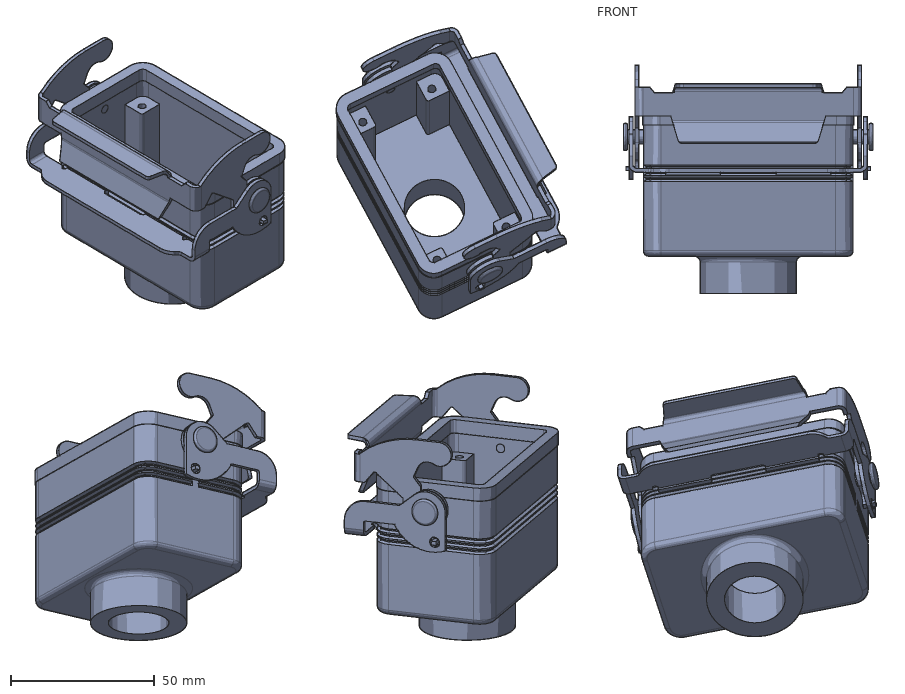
import cadquery as cq
import math


BODY_X = 73.1
BODY_Y = 43.7
RIM_X = 73.6
RIM_Y = 44.0
CORNER_R = 6.1
BASE_Z = 13.0
RIM_Z = 58.6
TOP_Z = 63.4
BASE_FILLET = 2.0

ENTRY_R = 16.8
ENTRY_BORE_R = 10.5

MOUTH_X = 65.4
MOUTH_Y = 35.85
MOUTH_CORNER_R = 1.7
MOUTH_DEPTH = 5.0
CAVITY_STEP = 0.7
CAVITY_X = MOUTH_X + 2 * CAVITY_STEP
CAVITY_Y = MOUTH_Y + 2 * CAVITY_STEP
CAVITY_CORNER_R = 3.0
FLOOR_Z = BASE_Z + (BODY_X - CAVITY_X) / 2

GROOVE_COUNT = 3
GROOVE_TOP_Z = 44.8
GROOVE_WIDTH = 1.6
GROOVE_PITCH = 2.1
GROOVE_DEPTH = 1.1
GROOVE_FLAT = 0.4
GROOVE_RIB_WIDTH = 2.6

POST_X = 25.05
POST_Y = 9.9
POST_TOP_Z = 51.4
POST_CORNER_R = 0.9
POST_HOLE_X = 28.5
POST_HOLE_Y = 13.5
POST_HOLE_R = 1.4
POST_HOLE_DEPTH = 10.4
DRILL_POINT_ANGLE = 118.0

PIVOT_Z = 54.55
PIN_R = 2.5
PIN_TIP_R = 1.6
PIN_HEAD_R = 4.8
PIN_HEAD_T = 1.5
PIN_HEAD_FILLET = 0.7
PIN_END_X = 43.5

SHEET = 1.4
BEND_R = 2 * SHEET

LOCK_X = 39.5
LOCK_BACK_Y = -28.1
LOCK_BOTTOM_Z = 61.8
LOCK_CORNER_Z = 71.9
LOCK_NOTCH_Z = 69.95
LOCK_NOTCH_TOP_X = 34.3
LOCK_NOTCH_BASE_X = 32.6
HOOK_TOP_Z = 79.5
HOOK_R = 4.35
HOOK_TIP_Y = 4.2
HOOK_CURVE_R = 33.2
HOOK_CURVE_Y = -4.5
HOOK_CURVE_END_Y = -22.0
HOOK_SHOULDER_Y = -25.7
THROAT_ANGLE = 24.0
THROAT_LIP = (-5.5, 65.9)
NECK_FRONT_Y = -9.4
NECK_FRONT_Z = 57.7
NECK_REAR_Y = -2.9
NECK_REAR_Z = 62.6
SIDE_NOTCH_TIP = (-19.9, 66.3)
SIDE_NOTCH_END_Y = -23.6
SIDE_NOTCH_R = 0.7
LOCK_BOSS_R = 7.0
LOCK_ARC_R = 6.1
LOCK_ARC_Z = 52.6
TONGUE_FILLET = 2.1
TONGUE_Y = 2.3
TONGUE_WIDTH = 1.7
TONGUE_BOTTOM_Z = 42.8
TONGUE_END_X = 42.6

GRIP_TOP_Z = 73.1
GRIP_END_Y = -35.9
GRIP_ROOT_X = 26.4
GRIP_BEND_X = 25.05
GRIP_TOP_X = 25.4
GRIP_END_X = 23.75
GRIP_CORNER_R = 1.4
FLAP_ANGLE = 25.0
FLAP_BEND_Z = 60.2
FLAP_LENGTH = 7.5
FLAP_ROOT_X = 27.0
FLAP_END_X = 24.1
FLAP_CORNER_R = 1.7

RELEASE_X = 41.5
RELEASE_BOSS_R = 7.05
PLATE_Z = 42.2
PLATE_BACK_Y = -23.2
LEG_FRONT_Y = -30.4
PLATE_FRONT_Y = -33.8
ARM_TOP_Z = 55.5
ARM_BOTTOM_Z = 48.4
LEG_ARC_R = 7.65
LEG_CORNER_R = 0.9
ELBOW_Y = -9.9
TAIL_ARC_START_Y = -11.75
TAIL_ARC_MIDDLE = (-7.0, 42.6)
TAIL_END_Z = 40.7
TONGUE_HOLE_R = 1.8
PLATE_STEP_X = 34.2
PLATE_STEP_R = 1.4
PLATE_CORNER_R = 7.65
PLATE_RELIEF_Y = -24.45
RECESS_CORNER_R = 1.1
CATCH_INNER_X = 9.75
CATCH_OUTER_X = 28.8
CATCH_BOTTOM_Z = 41.3
CATCH_TIP_Z = 42.8
RELIEF_WIDTH = 1.8


def block(size_x, size_y, z0, z1, radius):
    """Upright block centred on the Z axis with rounded vertical corners."""
    solid = cq.Workplane("XY").workplane(offset=z0).rect(size_x, size_y).extrude(z1 - z0)
    return solid.edges("|Z").fillet(radius)


def cylinder_x(radius, x0, x1, y, z):
    return cq.Workplane("YZ", origin=(x0, 0, 0)).center(y, z).circle(radius).extrude(x1 - x0)


def box(x0, x1, y0, y1, z0, z1):
    return cq.Workplane("XY").box(x1 - x0, y1 - y0, z1 - z0, centered=False).translate((x0, y0, z0))


def both_sides(solid):
    """The solid together with its mirror image across the YZ plane."""
    return solid.union(solid.mirror("YZ"))


def groove(top_z):
    """One flat-bottomed V groove around the body, interrupted by a rib in the middle of each end."""
    bottom_z = top_z - GROOVE_WIDTH
    flank = (GROOVE_WIDTH - GROOVE_FLAT) / 2
    flank_angle = math.degrees(math.atan2(GROOVE_DEPTH, flank))
    band = block(RIM_X, RIM_Y, bottom_z, top_z, CORNER_R)
    core_x = BODY_X - 2 * GROOVE_DEPTH
    core_y = BODY_Y - 2 * GROOVE_DEPTH
    core = block(core_x, core_y, bottom_z, top_z, CORNER_R - GROOVE_DEPTH)
    upper = core.faces(">Z").workplane(offset=-flank).sketch().rect(core_x, core_y).vertices()
    upper = upper.fillet(CORNER_R - GROOVE_DEPTH).finalize().extrude(flank, False, taper=-flank_angle)
    lower = upper.mirror("XY", (0, 0, (top_z + bottom_z) / 2))
    rib = box(-RIM_X / 2, RIM_X / 2, -GROOVE_RIB_WIDTH / 2, GROOVE_RIB_WIDTH / 2, bottom_z, top_z)
    return band.cut(core).cut(upper).cut(lower).cut(rib)


def post(side_x, side_y):
    """Corner post for a fixing screw, with a blind hole from its top."""
    wall_overlap = 0.9
    solid = box(
        POST_X, CAVITY_X / 2 + wall_overlap,
        POST_Y, CAVITY_Y / 2 + wall_overlap,
        FLOOR_Z - wall_overlap, POST_TOP_Z,
    )
    solid = solid.edges("|Z and <X and <Y").fillet(POST_CORNER_R)
    tip = POST_HOLE_R / math.tan(math.radians(DRILL_POINT_ANGLE / 2))
    hole = (
        cq.Workplane("XZ", origin=(POST_HOLE_X, POST_HOLE_Y, POST_TOP_Z))
        .polyline([
            (0, 0),
            (POST_HOLE_R, 0),
            (POST_HOLE_R, -POST_HOLE_DEPTH),
            (0, -POST_HOLE_DEPTH - tip),
        ])
        .close()
        .revolve(360, (0, 0), (0, 1))
    )
    solid = solid.cut(hole)
    if side_x < 0:
        solid = solid.mirror("YZ")
    if side_y < 0:
        solid = solid.mirror("XZ")
    return solid


def make_housing():
    body = block(BODY_X, BODY_Y, BASE_Z, RIM_Z, CORNER_R)
    body = body.faces("<Z").edges().fillet(BASE_FILLET)
    body = body.union(block(RIM_X, RIM_Y, RIM_Z, TOP_Z, CORNER_R))
    for i in range(GROOVE_COUNT):
        body = body.cut(groove(GROOVE_TOP_Z - i * GROOVE_PITCH))
    entry = (
        cq.Workplane("XZ")
        .moveTo(0, 0)
        .lineTo(ENTRY_R, 0)
        .lineTo(ENTRY_R, BASE_Z - BASE_FILLET)
        .radiusArc((ENTRY_R + BASE_FILLET, BASE_Z), BASE_FILLET)
        .lineTo(0, BASE_Z)
        .close()
        .revolve(360, (0, 0), (0, 1))
    )
    body = body.union(entry)
    mouth_z = TOP_Z - MOUTH_DEPTH
    body = body.cut(block(MOUTH_X, MOUTH_Y, mouth_z, TOP_Z, MOUTH_CORNER_R))
    body = body.cut(block(CAVITY_X, CAVITY_Y, FLOOR_Z, mouth_z, CAVITY_CORNER_R))
    body = body.cut(cq.Workplane("XY").circle(ENTRY_BORE_R).extrude(FLOOR_Z))
    for side_x in (-1, 1):
        for side_y in (-1, 1):
            body = body.union(post(side_x, side_y))
    return body.cut(cylinder_x(PIN_TIP_R, -BODY_X, BODY_X, 0, PIVOT_Z))


def make_pin():
    """Pivot pin on the -X end."""
    head = cylinder_x(PIN_HEAD_R, -PIN_END_X, -PIN_END_X + PIN_HEAD_T, 0, PIVOT_Z)
    head = head.edges().fillet(PIN_HEAD_FILLET)
    shank = cylinder_x(PIN_R, -PIN_END_X + PIN_HEAD_T / 2, -BODY_X / 2, 0, PIVOT_Z)
    tip = cylinder_x(PIN_TIP_R, -BODY_X / 2, -CAVITY_X / 2, 0, PIVOT_Z)
    return head.union(shank).union(tip)


def lock_side_outline():
    """Hook, neck and pivot boss of the locking lever in the YZ plane, extruded across the part."""
    tip_z = HOOK_TOP_Z - HOOK_R
    notch_z = tip_z - math.sqrt((2 * HOOK_R) ** 2 - HOOK_TIP_Y**2)
    curve_run = HOOK_CURVE_Y - HOOK_CURVE_END_Y
    curve_end_z = HOOK_TOP_Z - HOOK_CURVE_R + math.sqrt(HOOK_CURVE_R**2 - curve_run**2)
    blend = (HOOK_TIP_Y / 2, (tip_z + notch_z) / 2)
    throat = math.radians(THROAT_ANGLE)
    boss_y = TONGUE_Y + TONGUE_WIDTH
    boss_z = PIVOT_Z - math.sqrt(LOCK_BOSS_R**2 - boss_y**2)
    neck_z = PIVOT_Z + math.sqrt(LOCK_BOSS_R**2 - NECK_REAR_Y**2)
    arc_y = NECK_FRONT_Y + LOCK_ARC_R
    arc_z = LOCK_ARC_Z - LOCK_ARC_R
    outline = (
        cq.Workplane("YZ", origin=(-LOCK_X, 0, 0))
        .moveTo(HOOK_TIP_Y, HOOK_TOP_Z)
        .lineTo(HOOK_CURVE_Y, HOOK_TOP_Z)
        .radiusArc((HOOK_CURVE_END_Y, curve_end_z), -HOOK_CURVE_R)
        .lineTo(HOOK_SHOULDER_Y, LOCK_CORNER_Z)
        .lineTo(LOCK_BACK_Y, LOCK_CORNER_Z)
        .lineTo(LOCK_BACK_Y, LOCK_BOTTOM_Z)
        .lineTo(SIDE_NOTCH_END_Y, LOCK_BOTTOM_Z)
        .lineTo(*SIDE_NOTCH_TIP)
        .lineTo(NECK_FRONT_Y, NECK_FRONT_Z)
        .lineTo(NECK_FRONT_Y, LOCK_ARC_Z)
        .radiusArc((arc_y, arc_z), -LOCK_ARC_R)
        .lineTo(TONGUE_Y - TONGUE_FILLET, arc_z)
        .radiusArc((TONGUE_Y, arc_z - TONGUE_FILLET), TONGUE_FILLET)
        .lineTo(TONGUE_Y, TONGUE_BOTTOM_Z)
        .lineTo(boss_y, TONGUE_BOTTOM_Z)
        .lineTo(boss_y, boss_z)
        .threePointArc((LOCK_BOSS_R, PIVOT_Z), (NECK_REAR_Y, neck_z))
        .lineTo(NECK_REAR_Y, NECK_REAR_Z)
        .lineTo(*THROAT_LIP)
        .lineTo(-HOOK_R * math.cos(throat), notch_z + HOOK_R * math.sin(throat))
        .threePointArc((0, notch_z + HOOK_R), blend)
        .threePointArc((HOOK_TIP_Y + HOOK_R, tip_z), (HOOK_TIP_Y, HOOK_TOP_Z))
        .close()
    )
    solid = outline.extrude(2 * LOCK_X)
    notch_tip = cq.selectors.NearestToPointSelector((0, *SIDE_NOTCH_TIP))
    return solid.edges("|X").edges(notch_tip).fillet(SIDE_NOTCH_R)


def lock_sheet():
    """Two side plates joined by the front wall through rounded bends."""
    rear_y = HOOK_TIP_Y + HOOK_R
    outer = box(-LOCK_X, LOCK_X, LOCK_BACK_Y, rear_y, TONGUE_BOTTOM_Z, HOOK_TOP_Z)
    outer = outer.edges("|Z and <Y").fillet(BEND_R)
    inner_x = LOCK_X - SHEET
    inner = box(-inner_x, inner_x, LOCK_BACK_Y + SHEET, rear_y, TONGUE_BOTTOM_Z, HOOK_TOP_Z)
    inner = inner.edges("|Z and <Y").fillet(BEND_R - SHEET)
    return outer.cut(inner).intersect(lock_side_outline())


def lock_top_notch():
    """Lowered top edge of the front wall, between its two raised ends."""
    outline = cq.Workplane("XZ", origin=(0, LOCK_BACK_Y + SHEET, 0)).polyline([
        (-LOCK_NOTCH_TOP_X, LOCK_CORNER_Z),
        (-LOCK_NOTCH_BASE_X, LOCK_NOTCH_Z),
        (LOCK_NOTCH_BASE_X, LOCK_NOTCH_Z),
        (LOCK_NOTCH_TOP_X, LOCK_CORNER_Z),
    ])
    return outline.close().extrude(SHEET)


def grip():
    """Horizontal tab bent outwards from the top of the front wall."""
    wall_y = LOCK_BACK_Y + SHEET
    profile = (
        cq.Workplane("YZ", origin=(-LOCK_X, 0, 0))
        .moveTo(wall_y, LOCK_NOTCH_Z)
        .lineTo(wall_y, GRIP_TOP_Z - BEND_R)
        .radiusArc((wall_y - BEND_R, GRIP_TOP_Z), -BEND_R)
        .lineTo(GRIP_END_Y, GRIP_TOP_Z)
        .lineTo(GRIP_END_Y, GRIP_TOP_Z - SHEET)
        .lineTo(wall_y - BEND_R, GRIP_TOP_Z - SHEET)
        .radiusArc((LOCK_BACK_Y, GRIP_TOP_Z - BEND_R), BEND_R - SHEET)
        .lineTo(LOCK_BACK_Y, LOCK_NOTCH_Z)
        .close()
        .extrude(2 * LOCK_X)
    )
    plan = cq.Workplane("XY", origin=(0, 0, LOCK_NOTCH_Z)).polyline([
        (-GRIP_ROOT_X, wall_y),
        (-GRIP_BEND_X, wall_y - BEND_R),
        (-GRIP_END_X, GRIP_END_Y),
        (GRIP_END_X, GRIP_END_Y),
        (GRIP_BEND_X, wall_y - BEND_R),
        (GRIP_ROOT_X, wall_y),
    ])
    plan = plan.close().extrude(GRIP_TOP_Z - LOCK_NOTCH_Z).edges("|Z and <Y").fillet(GRIP_CORNER_R)
    front = cq.Workplane("XZ").polyline([
        (-GRIP_ROOT_X, LOCK_NOTCH_Z),
        (-GRIP_TOP_X, GRIP_TOP_Z),
        (GRIP_TOP_X, GRIP_TOP_Z),
        (GRIP_ROOT_X, LOCK_NOTCH_Z),
    ])
    front = front.close().extrude(-GRIP_END_Y)
    return profile.intersect(plan).intersect(front)


def flap():
    """Tapered flap at the bottom of the front wall, tilted outwards."""
    angle = math.radians(FLAP_ANGLE)
    wall_y = LOCK_BACK_Y + SHEET
    bend_y = wall_y - BEND_R

    def bend_end(radius):
        return (bend_y + radius * math.cos(angle), FLAP_BEND_Z - radius * math.sin(angle))

    def flap_end(radius):
        y, z = bend_end(radius)
        return (y - FLAP_LENGTH * math.sin(angle), z - FLAP_LENGTH * math.cos(angle))

    end_z = flap_end(BEND_R)[1]
    profile = (
        cq.Workplane("YZ", origin=(-LOCK_X, 0, 0))
        .moveTo(wall_y, LOCK_BOTTOM_Z)
        .lineTo(wall_y, FLAP_BEND_Z)
        .radiusArc(bend_end(BEND_R), BEND_R)
        .lineTo(*flap_end(BEND_R))
        .lineTo(*flap_end(BEND_R - SHEET))
        .lineTo(*bend_end(BEND_R - SHEET))
        .radiusArc((LOCK_BACK_Y, FLAP_BEND_Z), SHEET - BEND_R)
        .lineTo(LOCK_BACK_Y, LOCK_BOTTOM_Z)
        .close()
        .extrude(2 * LOCK_X)
    )
    outline = cq.Workplane("XZ").polyline([
        (-FLAP_ROOT_X, LOCK_BOTTOM_Z),
        (-FLAP_END_X, end_z),
        (FLAP_END_X, end_z),
        (FLAP_ROOT_X, LOCK_BOTTOM_Z),
    ])
    outline = outline.close().extrude(-GRIP_END_Y).edges("|Y and <Z").fillet(FLAP_CORNER_R)
    return profile.intersect(outline)


def make_locking_lever():
    lever = lock_sheet().cut(lock_top_notch()).union(grip()).union(flap())
    tongue = box(
        -TONGUE_END_X, SHEET - LOCK_X,
        TONGUE_Y, TONGUE_Y + TONGUE_WIDTH,
        TONGUE_BOTTOM_Z, TONGUE_BOTTOM_Z + SHEET,
    )
    return lever.union(both_sides(tongue))


def release_side():
    """Side plate of the release lever on the -X end, down to its bend."""
    bend_z = PLATE_Z + BEND_R
    elbow = (ELBOW_Y, ARM_TOP_Z)
    reach = math.hypot(elbow[0], elbow[1] - PIVOT_Z)
    tangent = math.atan2(elbow[1] - PIVOT_Z, elbow[0]) - math.acos(RELEASE_BOSS_R / reach)
    tangent_point = (RELEASE_BOSS_R * math.cos(tangent), PIVOT_Z + RELEASE_BOSS_R * math.sin(tangent))
    side = (
        cq.Workplane("YZ", origin=(-RELEASE_X, 0, 0))
        .moveTo(RELEASE_BOSS_R, PIVOT_Z)
        .threePointArc((0, PIVOT_Z + RELEASE_BOSS_R), tangent_point)
        .lineTo(*elbow)
        .lineTo(LEG_FRONT_Y + LEG_ARC_R, ARM_TOP_Z)
        .radiusArc((LEG_FRONT_Y, ARM_TOP_Z - LEG_ARC_R), -LEG_ARC_R)
        .lineTo(LEG_FRONT_Y, bend_z)
        .lineTo(PLATE_BACK_Y, bend_z)
        .lineTo(PLATE_BACK_Y, ARM_BOTTOM_Z - LEG_CORNER_R)
        .radiusArc((PLATE_BACK_Y + LEG_CORNER_R, ARM_BOTTOM_Z), LEG_CORNER_R)
        .lineTo(TAIL_ARC_START_Y, ARM_BOTTOM_Z)
        .threePointArc(TAIL_ARC_MIDDLE, (RELEASE_BOSS_R, TAIL_END_Z))
        .close()
        .extrude(SHEET)
    )
    hole = cylinder_x(
        TONGUE_HOLE_R, -RELEASE_X, SHEET - RELEASE_X,
        TONGUE_Y + TONGUE_WIDTH / 2, TONGUE_BOTTOM_Z + SHEET / 2,
    )
    return side.cut(hole)


def release_plan():
    """Outline of the horizontal plate, extruded through the bends."""
    corner_x = PLATE_STEP_X + PLATE_FRONT_Y - LEG_FRONT_Y
    plan = cq.Workplane("XY", origin=(0, 0, PLATE_Z)).polyline([
        (-RELEASE_X, PLATE_BACK_Y),
        (-RELEASE_X, LEG_FRONT_Y),
        (-PLATE_STEP_X, LEG_FRONT_Y),
        (-corner_x, PLATE_FRONT_Y),
        (corner_x, PLATE_FRONT_Y),
        (PLATE_STEP_X, LEG_FRONT_Y),
        (RELEASE_X, LEG_FRONT_Y),
        (RELEASE_X, PLATE_BACK_Y),
    ])
    plan = plan.close().extrude(BEND_R)
    plan = plan.edges("|Z and <Y").fillet(PLATE_CORNER_R)
    for x in (-PLATE_STEP_X, PLATE_STEP_X):
        step = cq.selectors.NearestToPointSelector((x, LEG_FRONT_Y, PLATE_Z + BEND_R / 2))
        plan = plan.edges("|Z").edges(step).fillet(PLATE_STEP_R)
    recess = box(-CATCH_INNER_X, CATCH_INNER_X, PLATE_RELIEF_Y, PLATE_BACK_Y, PLATE_Z, PLATE_Z + BEND_R)
    recess = recess.edges("|Z and <Y").fillet(RECESS_CORNER_R)
    relief_x = CATCH_OUTER_X + RELIEF_WIDTH / 2
    slot = (
        cq.Workplane("XY", origin=(-relief_x, PLATE_RELIEF_Y + RELIEF_WIDTH, PLATE_Z))
        .slot2D(2 * RELIEF_WIDTH, RELIEF_WIDTH, 90)
        .extrude(BEND_R)
    )
    return plan.cut(recess).cut(both_sides(slot))


def catch():
    """Bent edge of the plate that bears on the grooved wall of the housing, on the -X half."""
    profile = cq.Workplane("YZ", origin=(-CATCH_OUTER_X, 0, 0)).polyline([
        (PLATE_BACK_Y, PLATE_Z + SHEET),
        (-BODY_Y / 2, CATCH_TIP_Z),
        (-BODY_Y / 2, CATCH_BOTTOM_Z),
        (PLATE_BACK_Y, CATCH_BOTTOM_Z),
    ])
    return profile.close().extrude(CATCH_OUTER_X - CATCH_INNER_X)


def make_release_lever():
    top_z = ARM_TOP_Z
    sheet = box(-RELEASE_X, RELEASE_X, PLATE_FRONT_Y, PLATE_BACK_Y, PLATE_Z, top_z)
    sheet = sheet.edges("|Y and <Z").fillet(BEND_R)
    inner_x = RELEASE_X - SHEET
    inner = box(-inner_x, inner_x, PLATE_FRONT_Y, PLATE_BACK_Y, PLATE_Z + SHEET, top_z)
    inner = inner.edges("|Y and <Z").fillet(BEND_R - SHEET)
    plate = sheet.cut(inner).intersect(release_plan())
    return plate.union(both_sides(release_side())).union(both_sides(catch()))


housing = make_housing()
latch = make_locking_lever().union(make_release_lever()).union(both_sides(make_pin()))

result = cq.Compound.makeCompound([housing.val(), latch.val()])